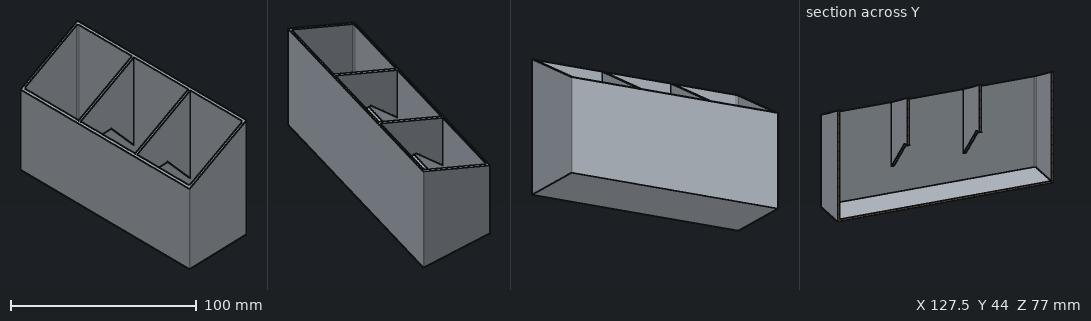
import cadquery as cq

length = 127.5
depth = 44.0
back_height = 77.0
front_height = 54.2
wall = 1.5
floor = 1.5
outer_radius = 0.3
inner_radius = 1.0

compartments = 3
pitch = length / compartments
divider_foot = 15.3
arch_rise = 22.0
arch_run = 18.7


def rounded_block(x_size, y_size, base, radius):
    """Vertical block centred in plan on the box, with rounded corners."""
    return (
        cq.Workplane("XY", origin=(length / 2, depth / 2, base))
        .rect(x_size, y_size)
        .extrude(back_height - base)
        .edges("|Z")
        .fillet(radius)
    )


def divider(x_start):
    """Cross wall with a trapezoidal opening along its underside."""
    crown = divider_foot + arch_rise
    return (
        cq.Workplane("YZ", origin=(x_start, 0, 0))
        .moveTo(0, divider_foot)
        .lineTo(arch_run, crown)
        .lineTo(depth - arch_run, crown)
        .lineTo(depth, divider_foot)
        .lineTo(depth, back_height)
        .lineTo(0, back_height)
        .close()
        .extrude(wall)
    )


def space_above_rim():
    """Wedge removed above the rim that slopes down to the front."""
    return (
        cq.Workplane("YZ")
        .moveTo(0, front_height)
        .lineTo(depth, back_height)
        .lineTo(0, back_height)
        .close()
        .extrude(length)
    )


outer = rounded_block(length, depth, 0, outer_radius)
cavity = rounded_block(length - 2 * wall, depth - 2 * wall, floor, inner_radius)
result = outer.cut(cavity)
for index in range(1, compartments):
    result = result.union(divider(index * pitch))
result = result.cut(space_above_rim())